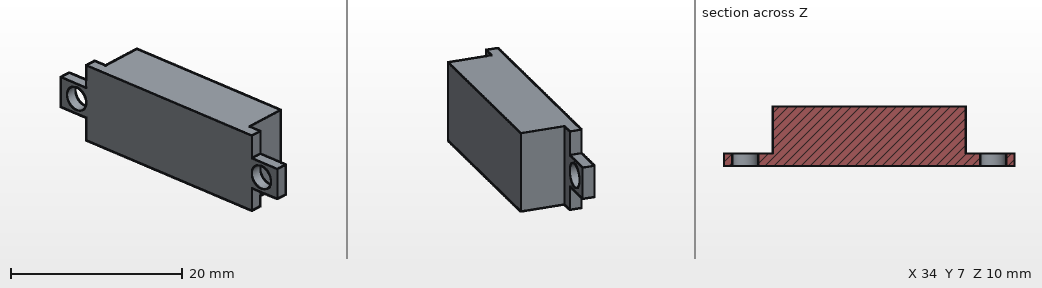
import cadquery as cq

overall_length = 34.0
overall_depth = 7.0
height = 10.0
plate_length = 26.0
plate_thickness = 1.5
body_length = 22.6
tab_height = 4.0
hole_diameter = 3.0
hole_end_distance = 2.5

body_depth = overall_depth - plate_thickness
hole_offset = overall_length / 2 - hole_end_distance


def front_block(length, block_height, start, depth):
    """Block centred on X and Z that runs from Y = start towards +Y."""
    return (
        cq.Workplane("XY")
        .box(length, depth, block_height, centered=(True, False, True))
        .translate((0, start, 0))
    )


def mounting_hole(x):
    """Cylinder along Y that pierces one tab."""
    return cq.Workplane("XZ").center(x, 0).circle(hole_diameter / 2).extrude(-plate_thickness)


plate = front_block(plate_length, height, 0, plate_thickness)
tabs = front_block(overall_length, tab_height, 0, plate_thickness)

body = front_block(body_length, height, plate_thickness, body_depth)

result = plate.union(tabs)
for hole_x in (-hole_offset, hole_offset):
    result = result.cut(mounting_hole(hole_x))
result = result.union(body)